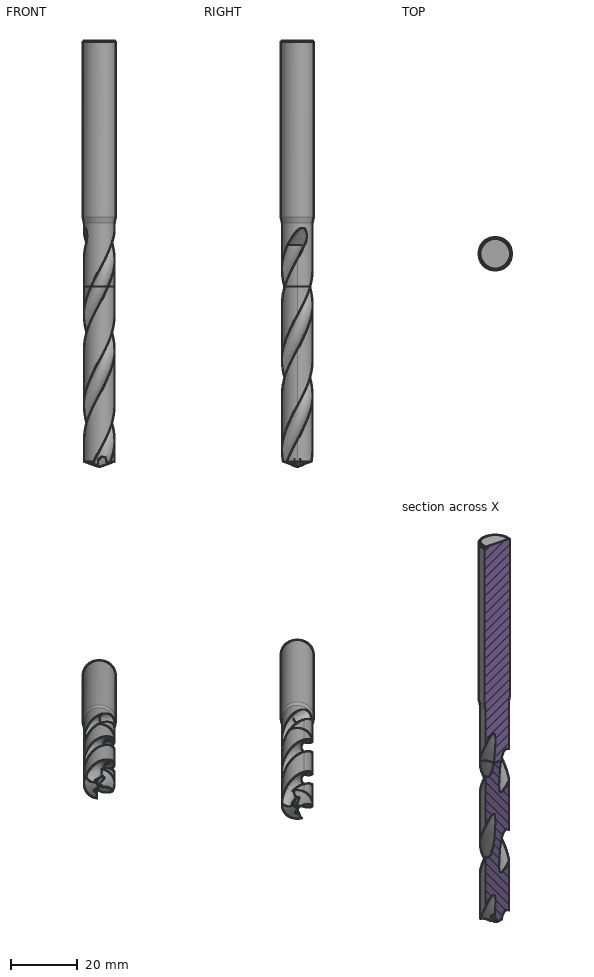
import cadquery as cq
import math

length = 128.0
shank_radius = 5.0
drill_radius = 4.6
top_chamfer = 0.5
point_angle = 140.0

joint_height = 54.1
flute_end_height = 66.5
neck_height = 73.2
shoulder_height = 75.0
point_height = drill_radius / math.tan(math.radians(point_angle / 2))

flute_count = 2
flute_pitch = 54.3
flute_radius = 2.5
flute_offset = 3.8
flute_start_angle = -88.0
runout_length = 9.0
runout_drift = 0.6
runout_slope = 0.5

web_half_thickness = 0.3
gash_tilt = 14.0
gash_depth = 3.8
gash_left = -0.4
gash_left_height = 2.3
gash_peak = 1.5
gash_peak_height = 4.0
gash_right = 2.8


def flute_center(height, flute):
    """Centre of a groove at a height, with its direction in degrees."""
    angle = flute_start_angle + 360.0 * (height / flute_pitch + flute / flute_count)
    radians = math.radians(angle)
    return cq.Vector(flute_offset * math.cos(radians), flute_offset * math.sin(radians), height), angle


def helical_groove(flute):
    start, _ = flute_center(0, flute)
    turn = 360.0 * flute_end_height / flute_pitch
    return (
        cq.Workplane("XY")
        .pushPoints([(start.x, start.y)])
        .circle(flute_radius)
        .twistExtrude(flute_end_height, turn)
    )


def groove_runout(flute):
    """Groove that leaves the end of the helix and slants straight out of the drill."""
    start, angle = flute_center(flute_end_height, flute)
    radians = math.radians(angle)
    outward = cq.Vector(math.cos(radians), math.sin(radians), 0)
    sideways = cq.Vector(-math.sin(radians), math.cos(radians), 0)
    along = sideways * runout_drift + cq.Vector(0, 0, 1)
    end = start + (along + outward * runout_slope) * runout_length
    path = cq.Workplane(cq.Edge.makeLine(start, end))
    profile = cq.Workplane("XY", origin=start.toTuple()).circle(flute_radius)
    return profile.sweep(path)


def cut_flutes(body):
    for flute in range(flute_count):
        body = body.cut(helical_groove(flute)).cut(groove_runout(flute))
    return body


def gash(flute):
    """Notch that opens into a flute, with a flat floor leaning away from the axis."""
    floor = cq.Workplane("XZ", origin=(0, -web_half_thickness, 0)).transformed(rotate=(gash_tilt, 0, 0))
    notch = (
        floor.moveTo(gash_left, 0)
        .lineTo(gash_left, gash_left_height)
        .lineTo(gash_peak, gash_peak_height)
        .lineTo(gash_right, 0)
        .close()
        .extrude(gash_depth)
    )
    return notch.rotate((0, 0, 0), (0, 0, 1), 360.0 * flute / flute_count)


def make_shank():
    """Plain shank with a conical shoulder and the upper, fluted stretch of the drill."""
    blank = (
        cq.Workplane("XZ")
        .moveTo(0, joint_height)
        .lineTo(drill_radius, joint_height)
        .lineTo(drill_radius, neck_height)
        .lineTo(shank_radius, shoulder_height)
        .lineTo(shank_radius, length - top_chamfer)
        .lineTo(shank_radius - top_chamfer, length)
        .lineTo(0, length)
        .close()
        .revolve(360, (0, 0), (0, 1))
    )
    return cut_flutes(blank)


def make_cutting_tip():
    """Lower stretch of the drill, with its conical point."""
    blank = (
        cq.Workplane("XZ")
        .lineTo(drill_radius, point_height)
        .lineTo(drill_radius, joint_height)
        .lineTo(0, joint_height)
        .close()
        .revolve(360, (0, 0), (0, 1))
    )
    tip = cut_flutes(blank)
    for flute in range(flute_count):
        tip = tip.cut(gash(flute))
    return tip


shank = make_shank()
cutting_tip = make_cutting_tip()

result = cq.Compound.makeCompound([shank.val(), cutting_tip.val()])